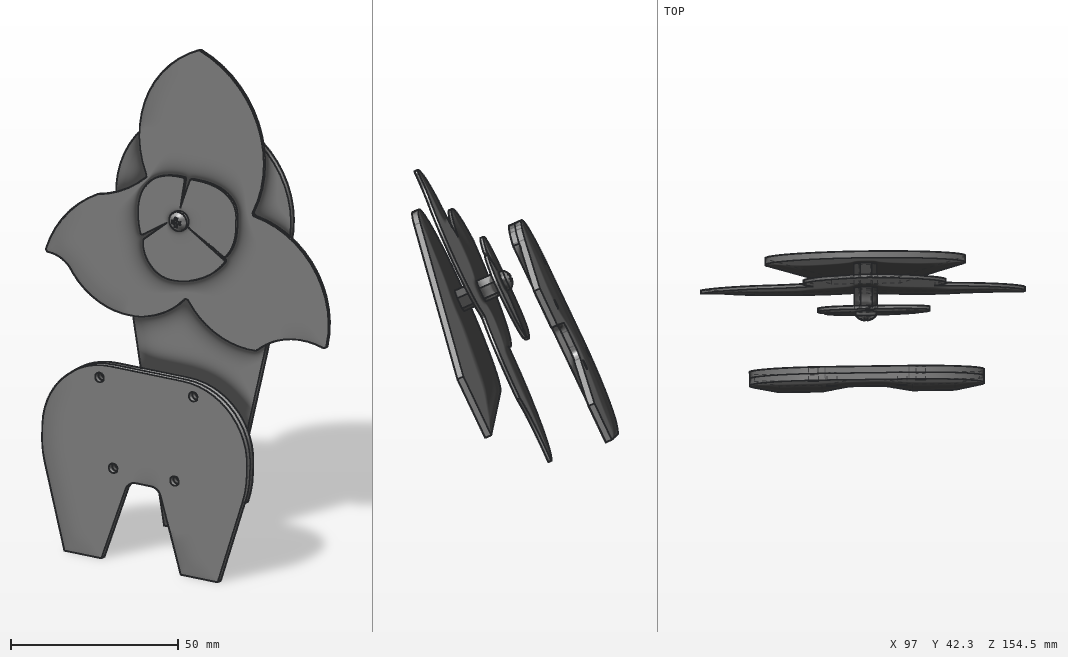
import cadquery as cq
import math


LEAN = 3.3
TURN = 0.8

BOARD = 2.0
PETAL_SHEET = 1.0
SPACER_LENGTH = 6.2
SPACER_FLATS = 6.0
SPACER_TWIST = -4.0

AXIS_HEIGHT = 102.4
DISC_RADIUS = 30.0
FOOT_HALF_WIDTH = 10.2

PETAL_TIP_ROUND = 1.0
LOBE_ROUND = 0.6

HEAD_RADIUS = 6.0 / 2
HEAD_RIM = 1.2
HEAD_HEIGHT = 2.8
CROSS_SPAN = 3.0
CROSS_ARM = 1.0
CROSS_DEPTH = 1.4

STAND_REACH = 32.3
STAND_HEIGHT = 60.9
STAND_HALF_WIDTH = 35.0
SHOULDER_RADIUS = 22.5
LEG_HALF_WIDTH = 26.3
HIP_HEIGHT = 30.7
HIP_RADIUS = 28.7
SLOT_HEIGHT = 25.8
SLOT_FOOT_HALF = 13.6
SLOT_TOP_HALF = 5.3
SLOT_ROUND = 3.7
HOLE_DIAMETER = 3.0
UPPER_HOLES = (16.0, 56.7)
LOWER_HOLES = (10.5, 29.0)

PETALS_DEPTH = SPACER_LENGTH
FRONT_SPACER_DEPTH = PETALS_DEPTH + PETAL_SHEET
LOBES_DEPTH = FRONT_SPACER_DEPTH + SPACER_LENGTH
HEAD_DEPTH = LOBES_DEPTH + PETAL_SHEET


def layer(depth, height=0):
    """Upright sketch plane facing -Y, set forward by depth and up by height."""
    return cq.Workplane("XZ", origin=(0, -depth, height))


def round_corners(plate, corners, depth, height, radius):
    """Round the through-thickness edges nearest to the given outline corners."""
    for x, z in corners:
        nearest = cq.selectors.NearestToPointSelector((x, -depth, height + z))
        plate = plate.edges("|Y").edges(nearest).fillet(radius)
    return plate


def make_back_plate():
    """Disc whose sides run down tangentially to a narrow foot."""
    foot_distance = math.hypot(FOOT_HALF_WIDTH, AXIS_HEIGHT)
    foot_direction = math.atan2(AXIS_HEIGHT, FOOT_HALF_WIDTH)
    tangent = foot_direction - math.acos(DISC_RADIUS / foot_distance)
    touch_x = DISC_RADIUS * math.cos(tangent)
    touch_z = AXIS_HEIGHT - DISC_RADIUS * math.sin(tangent)
    return (
        layer(-BOARD)
        .moveTo(-FOOT_HALF_WIDTH, 0)
        .lineTo(FOOT_HALF_WIDTH, 0)
        .lineTo(touch_x, touch_z)
        .threePointArc((0, AXIS_HEIGHT + DISC_RADIUS), (-touch_x, touch_z))
        .close()
        .extrude(BOARD)
    )


def make_spacer(depth):
    """Hexagonal standoff on the flower axis."""
    across_corners = SPACER_FLATS / math.cos(math.pi / 6)
    return (
        layer(depth, AXIS_HEIGHT)
        .transformed(rotate=(0, 0, SPACER_TWIST))
        .polygon(6, across_corners)
        .extrude(SPACER_LENGTH)
    )


def make_petals():
    """Large three-petal plate: circular arcs meeting at tips and notches."""
    top_tip = (1.0, 51.9)
    left_notch = (-15.6, 9.0)
    left_bend = (-32.5, 0.0)
    left_tip = (-49.6, -21.3)
    left_cusp = (-39.9, -26.3)
    lower_notch = (-1.0, -26.4)
    right_cusp = (23.3, -38.8)
    right_tip = (47.0, -33.8)
    right_notch = (20.2, 3.4)
    arcs = [
        ((-17.6, 30.6), left_notch),
        ((-23.0, 3.4), left_bend),
        ((-42.8, -8.2), left_tip),
        ((-44.8, -22.0), left_cusp),
        ((-20.0, -35.8), lower_notch),
        ((9.3, -35.8), right_cusp),
        ((33.7, -33.2), right_tip),
        ((43.4, -11.3), right_notch),
        ((22.9, 28.3), top_tip),
    ]
    outline = layer(PETALS_DEPTH, AXIS_HEIGHT).moveTo(*top_tip)
    for on_arc, end in arcs:
        outline = outline.threePointArc(on_arc, end)
    plate = outline.close().extrude(PETAL_SHEET)
    rounded = [top_tip, left_notch, left_tip, lower_notch, right_tip, right_notch]
    return round_corners(plate, rounded, PETALS_DEPTH, AXIS_HEIGHT, PETAL_TIP_ROUND)


def make_lobes():
    """Small plate: three lobes parted by narrow slits that run in toward the axis."""
    left_lobe = [(-13.1, -7.3), (-14.4, 0.3), (-13.3, 6.5), (-10.3, 10.7), (-4.3, 13.3), (1.2, 13.6)]
    right_lobe = [(3.1, 13.6), (9.9, 13.3), (14.8, 11.6), (18.2, 8.2), (19.2, 2.8), (18.5, -3.5), (15.6, -8.8)]
    lower_lobe = [(15.9, -9.9), (9.5, -15.9), (1.1, -19.0), (-6.0, -18.5), (-11.0, -14.0), (-12.2, -8.2)]
    lobes = [
        (left_lobe, (0.0, 4.0)),
        (right_lobe, (3.1, -1.9)),
        (lower_lobe, (-4.6, -1.7)),
    ]
    outline = layer(LOBES_DEPTH, AXIS_HEIGHT).moveTo(*lobes[-1][1])
    for edge, slit_end in lobes:
        outline = outline.lineTo(*edge[0])
        outline = outline.spline(edge[1:], includeCurrent=True)
        outline = outline.lineTo(*slit_end)
    plate = outline.close().extrude(PETAL_SHEET)
    corners = [edge[end] for edge, _ in lobes for end in (0, -1)]
    return round_corners(plate, corners, LOBES_DEPTH, AXIS_HEIGHT, LOBE_ROUND)


def make_screw_head():
    """Domed screw head with a cross recess."""
    rise = HEAD_HEIGHT - HEAD_RIM
    dome_radius = (HEAD_RADIUS**2 + rise**2) / (2 * rise)
    head = layer(HEAD_DEPTH, AXIS_HEIGHT).circle(HEAD_RADIUS).extrude(HEAD_HEIGHT)
    dome_centre = (0, -(HEAD_DEPTH + HEAD_HEIGHT - dome_radius), AXIS_HEIGHT)
    head = head.intersect(cq.Workplane("XY").sphere(dome_radius).translate(dome_centre))
    recess_floor = layer(HEAD_DEPTH + HEAD_HEIGHT - CROSS_DEPTH, AXIS_HEIGHT)
    for arm in ((CROSS_SPAN, CROSS_ARM), (CROSS_ARM, CROSS_SPAN)):
        head = head.cut(recess_floor.rect(*arm).extrude(CROSS_DEPTH))
    return head


def stand_blank(depth):
    """Stand outline with rounded shoulders, slanted legs and four holes, without the slot."""
    flat_half = STAND_HALF_WIDTH - SHOULDER_RADIUS
    shoulder_height = STAND_HEIGHT - SHOULDER_RADIUS
    diagonal = SHOULDER_RADIUS * math.sqrt(0.5)
    mid_x = flat_half + diagonal
    mid_z = shoulder_height + diagonal
    plate = (
        layer(depth)
        .moveTo(-LEG_HALF_WIDTH, 0)
        .lineTo(LEG_HALF_WIDTH, 0)
        .lineTo(STAND_HALF_WIDTH, HIP_HEIGHT)
        .lineTo(STAND_HALF_WIDTH, shoulder_height)
        .threePointArc((mid_x, mid_z), (flat_half, STAND_HEIGHT))
        .lineTo(-flat_half, STAND_HEIGHT)
        .threePointArc((-mid_x, mid_z), (-STAND_HALF_WIDTH, shoulder_height))
        .lineTo(-STAND_HALF_WIDTH, HIP_HEIGHT)
        .close()
        .extrude(BOARD)
    )
    hips = [(side * STAND_HALF_WIDTH, HIP_HEIGHT) for side in (-1, 1)]
    plate = round_corners(plate, hips, depth, 0, HIP_RADIUS)
    hole_centres = [(side * x, z) for x, z in (UPPER_HOLES, LOWER_HOLES) for side in (-1, 1)]
    holes = layer(depth).pushPoints(hole_centres).circle(HOLE_DIAMETER / 2).extrude(BOARD)
    return plate.cut(holes)


def make_stand_front(depth):
    """Front stand plate: two legs either side of a tapering slot."""
    slot = (
        layer(depth)
        .moveTo(-SLOT_FOOT_HALF, 0)
        .lineTo(-SLOT_TOP_HALF, SLOT_HEIGHT)
        .lineTo(SLOT_TOP_HALF, SLOT_HEIGHT)
        .lineTo(SLOT_FOOT_HALF, 0)
        .close()
        .extrude(BOARD)
    )
    slot_corners = [(side * SLOT_TOP_HALF, SLOT_HEIGHT) for side in (-1, 1)]
    slot = round_corners(slot, slot_corners, depth, 0, SLOT_ROUND)
    return stand_blank(depth).cut(slot)


def make_stand_rear(depth):
    """Rear stand plate: same outline, ending level with the top of the slot."""
    legs = layer(depth).rect(2 * STAND_HALF_WIDTH, 2 * SLOT_HEIGHT).extrude(BOARD)
    return stand_blank(depth).cut(legs)


def place(body):
    """Lean a body back about X, then turn it about Z."""
    leaned = body.rotate((0, 0, 0), (1, 0, 0), -LEAN)
    return leaned.rotate((0, 0, 0), (0, 0, 1), TURN)


stand_depth = STAND_REACH * math.cos(math.radians(LEAN))
stand_drop = STAND_REACH * math.sin(math.radians(LEAN))
front_plate_depth = stand_depth - BOARD
rear_plate_depth = front_plate_depth - BOARD

back_plate = place(make_back_plate())
petals = place(make_petals())
lobes = place(make_lobes())
screw_head = place(make_screw_head())
stand_front = place(make_stand_front(front_plate_depth).translate((0, 0, -stand_drop)))
stand_rear = place(make_stand_rear(rear_plate_depth).translate((0, 0, -stand_drop)))
spacers = [place(make_spacer(depth)) for depth in (0, FRONT_SPACER_DEPTH)]

result = cq.Compound.makeCompound(
    [
        back_plate.val(),
        petals.val(),
        lobes.val(),
        screw_head.val(),
        stand_front.val(),
        stand_rear.val(),
        *[spacer.val() for spacer in spacers],
    ]
)